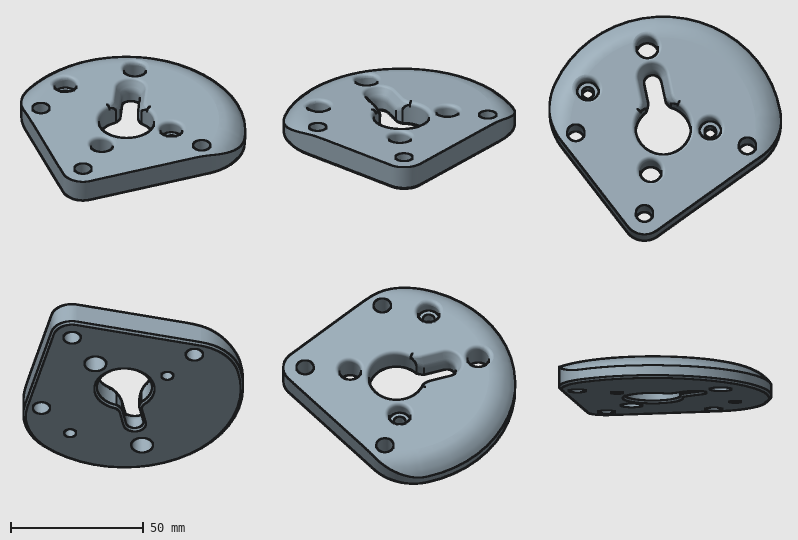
import cadquery as cq
import math

thickness = 9.75
disc_radius = 45.0
right_side = 31.4
front_side = disc_radius - 79.2
front_left_radius = 24.0
back_right_radius = 20.0
corner_radius = 8.0
bottom_chamfer = 0.95

shoulder_width = 9.8
shoulder_drop = 5.0

bore_radius = 4.1
screw_diameter = 4.5
counterbore_depth = 5.0
rim_round = 1.5
bore_left = -29.0
bore_right = 11.0
bore_half_spacing = 14.0
through_bores = [(bore_left, bore_half_spacing), (bore_right, -bore_half_spacing)]
stepped_bores = [(bore_right, bore_half_spacing), (bore_left, -bore_half_spacing)]

plain_diameter = 6.6
plain_holes = [(24.95, 21.15), (-17.9, -27.95), (23.1, -26.05)]

opening_radius = 10.45
slot_radius = 3.3
slot_length = 19.95
slot_angle = 155
slot_flare = 3.4
wall_tilt = 33
throat_round = 3.95
keyhole_chamfer = 0.95
neck_radius = 4.35
neck_sections = 6
neck_end_share = 0.97
neck_pivot_y = slot_radius + slot_flare + neck_radius
neck_pivot_x = math.sqrt((opening_radius + rim_round + neck_radius) ** 2 - neck_pivot_y**2)


def point_on_circle(center, angle, radius):
    """Point at an angle in degrees on a circle."""
    turn = math.radians(angle)
    return (center[0] + radius * math.cos(turn), center[1] + radius * math.sin(turn))


def make_outline():
    """Disc outline whose corners blend tangentially into the straight sides."""
    back_x = right_side - back_right_radius
    back_y = math.sqrt((disc_radius - back_right_radius) ** 2 - back_x**2)
    left_y = front_side + front_left_radius
    left_x = -math.sqrt((disc_radius - front_left_radius) ** 2 - left_y**2)
    back_angle = math.degrees(math.atan2(back_y, back_x))
    left_angle = math.degrees(math.atan2(left_y, left_x)) + 360
    back_center = (back_x, back_y)
    left_center = (left_x, left_y)
    corner_center = (right_side - corner_radius, front_side + corner_radius)
    return (
        cq.Workplane("XY")
        .moveTo(right_side, back_y)
        .threePointArc(
            point_on_circle(back_center, back_angle / 2, back_right_radius),
            point_on_circle((0, 0), back_angle, disc_radius),
        )
        .threePointArc(
            point_on_circle((0, 0), (back_angle + left_angle) / 2, disc_radius),
            point_on_circle((0, 0), left_angle, disc_radius),
        )
        .threePointArc(
            point_on_circle(left_center, (left_angle + 270) / 2, front_left_radius),
            (left_x, front_side),
        )
        .lineTo(corner_center[0], front_side)
        .threePointArc(
            point_on_circle(corner_center, -45, corner_radius),
            (right_side, corner_center[1]),
        )
        .close()
    )


def make_dome():
    """Disc whose shoulder is an arc tangent to the flat top."""
    arc_radius = (shoulder_width**2 + shoulder_drop**2) / (2 * shoulder_drop)
    arc_center = (disc_radius - shoulder_width, thickness - arc_radius)
    end_angle = math.degrees(math.acos(shoulder_width / arc_radius))
    return (
        cq.Workplane("XZ")
        .lineTo(disc_radius, 0)
        .lineTo(disc_radius, thickness - shoulder_drop)
        .threePointArc(
            point_on_circle(arc_center, (end_angle + 90) / 2, arc_radius),
            (arc_center[0], thickness),
        )
        .lineTo(0, thickness)
        .close()
        .revolve(360, (0, 0), (0, 1))
    )


def flared_profile(plane, axis, wall, flare, top_round, lower_round):
    """Section of an opening from its axis to a wall that tilts outward towards the top.

    Distances run along the plane's local x. An arc joins the tilted stretch to the upright
    wall below it, and another joins it to the top face.
    """
    side = math.copysign(1, wall - axis)
    tilt = math.radians(wall_tilt)
    edge = wall + side * flare
    upper = (edge - side * top_round * math.cos(tilt), thickness - top_round * (1 - math.sin(tilt)))
    lower_x = wall + side * lower_round * (1 - math.cos(tilt))
    lower_z = upper[1] - abs(upper[0] - lower_x) / math.tan(tilt)
    base = lower_z - lower_round * math.sin(tilt)
    mid_upper = (tilt + math.pi / 2) / 2
    return (
        cq.Workplane(plane)
        .moveTo(axis, 0)
        .lineTo(wall, 0)
        .lineTo(wall, base)
        .threePointArc(
            (
                wall + side * lower_round * (1 - math.cos(tilt / 2)),
                base + lower_round * math.sin(tilt / 2),
            ),
            (lower_x, lower_z),
        )
        .lineTo(*upper)
        .threePointArc(
            (
                edge - side * top_round * math.cos(mid_upper),
                thickness - top_round * (1 - math.sin(mid_upper)),
            ),
            (edge, thickness),
        )
        .lineTo(axis, thickness)
        .close()
    )


def round_bore(radius):
    """Through bore with a rounded top rim."""
    return (
        cq.Workplane("XZ")
        .lineTo(radius, 0)
        .lineTo(radius, thickness - rim_round)
        .radiusArc((radius + rim_round, thickness), rim_round)
        .lineTo(0, thickness)
        .close()
        .revolve(360, (0, 0), (0, 1))
    )


def make_neck(side):
    """Blend from the slot's flared wall to the opening's rounded rim, swung about a pivot."""
    sweep = math.atan2(neck_pivot_x, neck_pivot_y)
    end_round = neck_end_share * rim_round
    wires = []
    for step in range(neck_sections):
        t = step / (neck_sections - 1)
        turn = t * sweep
        flare = slot_flare + t * (rim_round - slot_flare)
        top_round = rim_round + t * (end_round - rim_round)
        lower_round = throat_round + t * (end_round - throat_round)
        outward = (-math.sin(turn), -side * math.cos(turn), 0)
        normal = (outward[1], -outward[0], 0)
        plane = cq.Plane(origin=(neck_pivot_x, side * neck_pivot_y, 0), xDir=outward, normal=normal)
        wall = neck_radius + flare
        section = flared_profile(plane, neck_pivot_y, wall, flare, top_round, lower_round)
        wires.append(section.wires().val())
    return cq.Workplane(cq.Solid.makeLoft(wires))


def make_keyhole():
    """Round opening, flared slot and the two necks joining them."""
    slot_end = (
        flared_profile("XZ", 0, slot_radius, slot_flare, rim_round, throat_round)
        .revolve(360, (0, 0), (0, 1))
        .translate((slot_length, 0, 0))
    )
    half_slot = flared_profile("YZ", 0, slot_radius, slot_flare, rim_round, throat_round).extrude(
        slot_length - neck_pivot_x
    )
    half_slot = half_slot.translate((neck_pivot_x, 0, 0))
    keyhole = round_bore(opening_radius).union(slot_end)
    keyhole = keyhole.union(half_slot).union(half_slot.mirror("XZ"))
    core = cq.Workplane("XY").box(slot_length, slot_radius, thickness, centered=(False, True, False))
    keyhole = keyhole.union(core)
    for side in (-1, 1):
        keyhole = keyhole.union(make_neck(side))
    return keyhole.rotate((0, 0, 0), (0, 0, 1), slot_angle)


def cut_screw_holes(body):
    """Cut the through and stepped bores and round every bore rim."""
    floor = cq.Workplane("XY", origin=(0, 0, thickness - counterbore_depth))
    bores = cq.Workplane("XY").pushPoints(through_bores).circle(bore_radius).extrude(thickness)
    bores = bores.union(floor.pushPoints(stepped_bores).circle(bore_radius).extrude(counterbore_depth))
    screws = cq.Workplane("XY").pushPoints(stepped_bores).circle(screw_diameter / 2).extrude(thickness)
    body = body.cut(bores)
    near_top = cq.selectors.BoxSelector(
        (-disc_radius, -disc_radius, thickness - rim_round),
        (right_side, disc_radius, thickness + rim_round),
    )
    tolerance = 0.01
    rims = []
    for x, y in through_bores + stepped_bores:
        for edge in body.edges(near_top).vals():
            start = edge.startPoint()
            middle = edge.positionAt(0.5)
            on_bore = [
                abs(math.hypot(point.x - x, point.y - y) - bore_radius) < tolerance
                for point in (start, middle)
            ]
            if all(on_bore):
                rims.append(edge)
    return body.newObject(rims).fillet(rim_round).cut(screws)


plate = make_outline().extrude(thickness).faces("<Z").chamfer(bottom_chamfer)
square_corner = cq.Workplane("XY").box(
    right_side, -front_side, thickness, centered=False
).translate((0, front_side, 0))
plate = plate.intersect(make_dome().union(square_corner))

plate = cut_screw_holes(plate)
plate = plate.cut(cq.Workplane("XY").pushPoints(plain_holes).circle(plain_diameter / 2).extrude(thickness))

plate = plate.cut(make_keyhole())
keyhole_zone = cq.selectors.BoxSelector(
    (-slot_length - slot_radius, -opening_radius, -bottom_chamfer / 2),
    (opening_radius, opening_radius + slot_radius, bottom_chamfer / 2),
)
result = plate.faces("<Z").edges(keyhole_zone).chamfer(keyhole_chamfer)